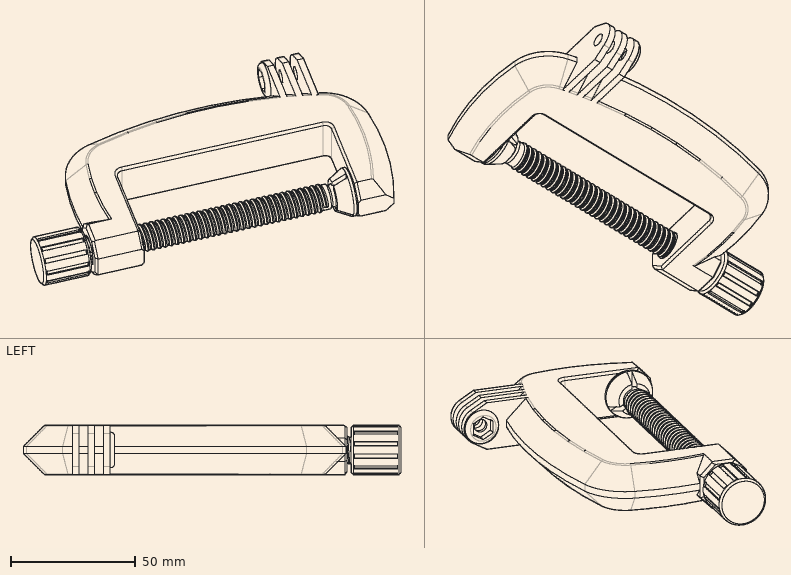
import cadquery as cq
import math


thickness = 20.0
half_thickness = thickness / 2

frame_end_x = half_thickness
back_x = -60.2
back_radius = 190.0
arm_crown_x = -21.3
arm_radius = 101.8
corner_radius = 19.9
top_y = 152.0
jaw_y = 132.1
nut_face_y = 42.1
middle_y = (jaw_y + nut_face_y) / 2
bottom_y = 2 * middle_y - top_y
edge_strip = 2.9
bevel = (thickness - edge_strip) / 2
bevel_softening = 1.2
end_chamfer = 5.3
opening_x = -29.6
opening_corner_radius = 2.7
opening_chamfer = 1.0
boss_end_y = 21.7
boss_chamfer_axial = 1.4
boss_chamfer_radial = 0.9
screw_hole_diameter = 12.0

lug_axis_x = -68.4
lug_radius = 7.6
lug_root_x = -45.6
lug_slope = math.radians(30)
lug_thickness = 2.7
lug_pitch = 6.2
lug_count = 3
first_lug_y = 130.9
lug_hole_diameter = 5.3
nut_boss_radius = 7.1
nut_boss_height = 1.8
nut_boss_rounding = 1.7
nut_pocket_corners = 9.7
nut_pocket_depth = 3.0

knob_diameter = 20.0
knob_length = 20.0
knob_chamfer = 0.9
groove_count = 12
groove_width = 1.8
groove_depth = 0.8
groove_end_gap = 1.4
core_diameter = 10.3
thread_diameter = 11.4
thread_turns = 40
thread_root_width = 2.5
thread_crest_width = 0.5
thread_overlap = 0.2
thread_end_y = 120.1
core_end_y = 123.1
core_chamfer = 0.9
ball_diameter = 9.7
ball_y = 125.4

pad_diameter = 20.0
pad_rim_height = 1.8
pad_rim_chamfer = 0.6
pad_height = 7.8
pad_neck_radius = 6.7
pad_slot_width = 2.1
pad_slot_count = 3
pad_end_y = jaw_y - pad_height
pad_rim_y = jaw_y - pad_rim_height


def disc(center_x, center_y, radius):
    """Upright cylinder as thick as the frame."""
    return cq.Workplane("XY").center(center_x, center_y).circle(radius).extrude(half_thickness, both=True)


def block(x_min, x_max, y_min, y_max):
    """Box as thick as the frame."""
    return (
        cq.Workplane("XY")
        .center((x_min + x_max) / 2, (y_min + y_max) / 2)
        .rect(x_max - x_min, y_max - y_min)
        .extrude(half_thickness, both=True)
    )


def along_y(start_y):
    """Workplane on the screw axis whose normal points along +Y."""
    return cq.Workplane(cq.Plane(origin=(0, start_y, 0), xDir=(1, 0, 0), normal=(0, 1, 0)))


def make_frame_body():
    """Curved C outline with a wide bevel along its outer edges, still without the opening."""
    body = disc(back_x + back_radius, middle_y, back_radius)
    body = body.intersect(disc(arm_crown_x, top_y - arm_radius, arm_radius))
    body = body.intersect(disc(arm_crown_x, bottom_y + arm_radius, arm_radius))
    body = body.intersect(block(back_x, frame_end_x, bottom_y, top_y))
    body = body.edges("|Z and (not >X)").fillet(corner_radius)
    body = body.faces("|Z").edges("not >X").chamfer(bevel)
    return body.faces(">X").edges("|Y").chamfer(end_chamfer)


def soften_bevel(body):
    """Round the edge where the top and bottom faces turn into the outer bevel."""
    for side in (">Z", "<Z"):
        body = body.faces(side).edges("not >X").fillet(bevel_softening)
    return body


def cut_opening(body):
    """Open the C towards +X, with rounded inner corners."""
    opening = block(opening_x, frame_end_x, nut_face_y, jaw_y)
    opening = opening.edges("|Z and <X").fillet(opening_corner_radius)
    return body.cut(opening)


def make_screw_boss():
    """Octagonal boss that carries the screw at the end of the lower arm."""
    boss = along_y(boss_end_y).rect(thickness, thickness).extrude(nut_face_y - boss_end_y)
    boss = boss.edges("|Y").chamfer(end_chamfer)
    return boss.faces("<Y").chamfer(boss_chamfer_axial, boss_chamfer_radial)


def make_lug(middle_plane_y):
    """Flat lug with a round nose and sides that slope up to the full thickness."""
    tangent_x = lug_axis_x - lug_radius * math.sin(lug_slope)
    tangent_z = lug_radius * math.cos(lug_slope)
    shoulder_x = tangent_x + (half_thickness - tangent_z) / math.tan(lug_slope)
    return (
        cq.Workplane("XZ", origin=(0, middle_plane_y, 0))
        .moveTo(lug_root_x, half_thickness)
        .lineTo(shoulder_x, half_thickness)
        .lineTo(tangent_x, tangent_z)
        .threePointArc((lug_axis_x - lug_radius, 0), (tangent_x, -tangent_z))
        .lineTo(shoulder_x, -half_thickness)
        .lineTo(lug_root_x, -half_thickness)
        .close()
        .extrude(lug_thickness / 2, both=True)
    )


def make_frame():
    """C frame with its screw boss, drilled mounting lugs and nut pocket."""
    body = cut_opening(soften_bevel(make_frame_body()))
    body = body.union(make_screw_boss())
    margin = opening_chamfer / 2
    inner_rim = cq.selectors.BoxSelector(
        (opening_x - margin, nut_face_y - margin, -thickness), (thickness, jaw_y + margin, thickness)
    )
    body = body.edges(inner_rim).edges("not |Z").chamfer(opening_chamfer)

    for index in range(lug_count):
        body = body.union(make_lug(first_lug_y - index * lug_pitch))
    last_lug_face_y = first_lug_y - (lug_count - 1) * lug_pitch - lug_thickness / 2
    lug_axis = cq.Workplane("XZ", origin=(lug_axis_x, last_lug_face_y, 0))
    nut_boss = lug_axis.circle(nut_boss_radius).extrude(nut_boss_height)
    body = body.union(nut_boss.faces("<Y").edges().fillet(nut_boss_rounding))

    lug_hole = lug_axis.circle(lug_hole_diameter / 2).extrude(2 * lug_count * lug_pitch, both=True)
    nut_pocket = (
        lug_axis.workplane(offset=nut_boss_height)
        .transformed(rotate=(0, 0, 90))
        .polygon(6, nut_pocket_corners)
        .extrude(-nut_pocket_depth)
    )
    screw_hole = along_y(0).circle(screw_hole_diameter / 2).extrude(middle_y)
    return body.cut(lug_hole).cut(nut_pocket).cut(screw_hole)


def make_knob():
    """Chamfered grip with blind grooves around its side."""
    knob = along_y(0).circle(knob_diameter / 2).extrude(knob_length).faces("|Y").chamfer(knob_chamfer)
    step = 360 / groove_count
    groove = (
        along_y(groove_end_gap)
        .center(knob_diameter / 2, 0)
        .rect(2 * groove_depth, groove_width)
        .extrude(knob_length - 2 * groove_end_gap)
    )
    for index in range(groove_count):
        knob = knob.cut(groove.rotate((0, 0, 0), (0, 1, 0), (index + 0.5) * step))
    return knob


def make_thread():
    """Single-start right-hand ridge wound around the screw core, from the knob upwards."""
    length = thread_end_y - knob_length
    root_radius = core_diameter / 2 - thread_overlap
    helix = cq.Wire.makeHelix(length / thread_turns, length, root_radius)
    ridge = (
        cq.Workplane("XZ")
        .moveTo(root_radius, -thread_root_width / 2)
        .lineTo(thread_diameter / 2, -thread_crest_width / 2)
        .lineTo(thread_diameter / 2, thread_crest_width / 2)
        .lineTo(root_radius, thread_root_width / 2)
        .close()
        .sweep(cq.Workplane(helix), isFrenet=True)
    )
    return ridge.rotate((0, 0, 0), (1, 0, 0), -90).translate((0, knob_length, 0))


def make_ball():
    """Ball at the tip of the screw, also the shape of its socket in the pad."""
    return cq.Workplane("XY").sphere(ball_diameter / 2).translate((0, ball_y, 0))


def make_screw():
    """Threaded screw with the knob at one end and the ball at the other."""
    core = along_y(0).circle(core_diameter / 2).extrude(core_end_y).faces(">Y").chamfer(core_chamfer)
    return core.union(make_thread()).union(make_knob()).union(make_ball())


def make_pad():
    """Conical pad that snaps over the ball, split into fingers by slots around its neck."""
    radius = pad_diameter / 2
    pad = (
        cq.Workplane("XY")
        .moveTo(0, pad_end_y)
        .lineTo(pad_neck_radius, pad_end_y)
        .lineTo(radius, pad_rim_y)
        .lineTo(radius, jaw_y - pad_rim_chamfer)
        .lineTo(radius - pad_rim_chamfer, jaw_y)
        .lineTo(0, jaw_y)
        .close()
        .revolve(360, (0, 0, 0), (0, 1, 0))
    )
    pad = pad.cut(make_ball())
    slot = (
        along_y(pad_end_y)
        .center(0, -pad_diameter / 2)
        .rect(pad_slot_width, pad_diameter)
        .extrude(pad_rim_y - pad_end_y)
    )
    for index in range(pad_slot_count):
        pad = pad.cut(slot.rotate((0, 0, 0), (0, 1, 0), index * 360 / pad_slot_count))
    return pad


frame = make_frame()
screw = make_screw()
pad = make_pad()

result = cq.Compound.makeCompound([frame.val(), screw.val(), pad.val()])